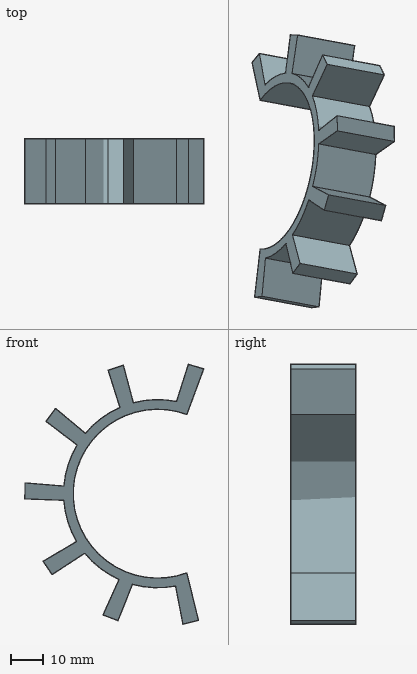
import cadquery as cq
import math

total_height = 80.1
width = 20.0
inner_radius = 25.95
outer_radius = 29.0

tooth_count = 7
first_angle = 69.7
tooth_pitch = 35.2
tip_angle = 7.0
root_angle = 8.8
end_angle = 360.0 - first_angle

last_angle = first_angle + (tooth_count - 1) * tooth_pitch
top_sine = math.sin(math.radians(first_angle + tip_angle))
bottom_sine = math.sin(math.radians(last_angle))
tip_radius = total_height / (top_sine - bottom_sine)


def polar(radius, angle):
    """Point on a circle about the ring axis."""
    return radius * math.cos(math.radians(angle)), radius * math.sin(math.radians(angle))


def arc_to(outline, radius, start, end):
    """Continue the outline along a circle from the start angle to the end angle."""
    return outline.threePointArc(polar(radius, (start + end) / 2), polar(radius, end))


outline = cq.Workplane("XZ").moveTo(*polar(inner_radius, first_angle))
for index in range(tooth_count):
    leading = first_angle + index * tooth_pitch
    outline = outline.lineTo(*polar(tip_radius, leading))
    outline = outline.lineTo(*polar(tip_radius, leading + tip_angle))
    if index < tooth_count - 1:
        root = leading + root_angle
        outline = outline.lineTo(*polar(outer_radius, root))
        outline = arc_to(outline, outer_radius, root, leading + tooth_pitch)

outline = outline.lineTo(*polar(inner_radius, end_angle))
outline = arc_to(outline, inner_radius, end_angle, first_angle)

result = outline.close().extrude(width / 2, both=True)